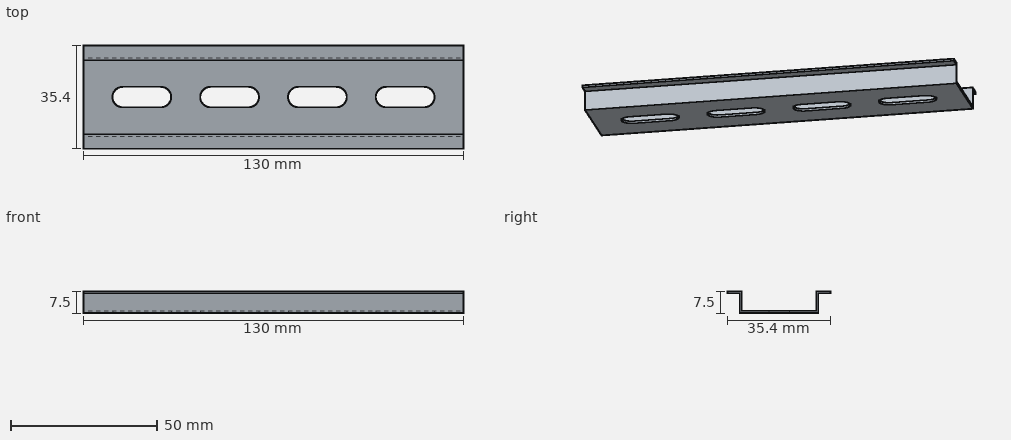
import cadquery as cq

length = 130.0
width = 35.4
height = 7.5
thickness = 0.8
inner_width = 25.4
channel_width = inner_width + 2 * thickness

slot_count = 4
slot_pitch = 30.0
slot_length = 20.0
slot_width = 6.9


def centred_bar(bar_width, bottom, top):
    """Full-length bar centred on the rail, between two heights."""
    bar = cq.Workplane("XY").box(length, bar_width, top - bottom, centered=(True, True, False))
    return bar.translate((0, 0, bottom))


channel = centred_bar(channel_width, 0, height)
flanges = centred_bar(width, height - thickness, height)
cavity = centred_bar(inner_width, thickness, height)
rail = channel.union(flanges).cut(cavity)

slots = (
    cq.Workplane("XY")
    .rarray(slot_pitch, 1.3, slot_count, 1)
    .slot2D(slot_length, slot_width)
    .extrude(thickness)
)

result = rail.cut(slots)